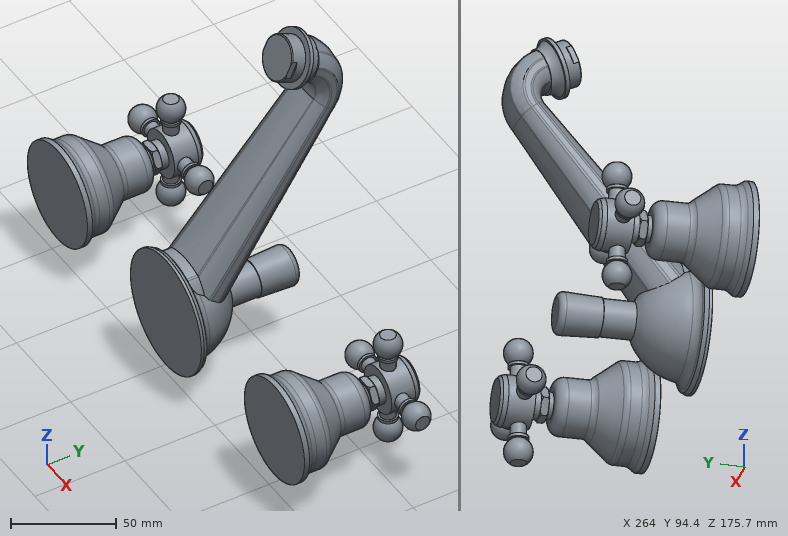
import cadquery as cq
import math


handle_spacing = 100.0
handle_flange_radius = 27.7
handle_rim_thickness = 3.0
handle_rim_slope = (26.1, 5.3)
rim_blend_middle = (25.4, 6.9)
bell_radius = 25.0
bell_base = 8.5
bell_top = 14.0
bell_shoulder_middle = (24.8, 15.5)
cone_start = (23.8, 17.2)
cone_end = (15.8, 27.5)
sleeve_blend_middle = (14.5, 29.0)
sleeve_radius = 14.3
sleeve_base = 30.6
sleeve_top = 47.3
sleeve_rounding = 5.5

collar_radius = 6.5
nut_base = 49.6
nut_top = 53.5
nut_corner_radius = 8.7
nut_chamfer = 0.8
stem_radius = 7.5

hub_radius = 12.7
hub_base = 57.5
hub_shoulder = 70.8
hub_top = 74.5
hub_bevel = 1.3
hub_edge_bevel = 0.8

arm_count = 4
arm_height = 63.0
arm_radius = 4.0
arm_length = 32.0
arm_ring_radius = 5.0
arm_ring_start = 18.2
arm_ring_end = 19.8
arm_neck_radius = 4.0
ball_radius = 7.0
ball_flat_radius = 4.0

spout_flange_radius = 32.7
spout_rim_thickness = 1.5
spout_rim_bevel_top = (31.7, 3.7)
flare_start = (30.0, 4.2)
flare_middle = (28.0, 5.8)
dome_foot_radius = 27.0
dome_foot = 8.2
dome_middle = (22.7, 19.0)
post_radius = 9.2
post_start = 31.5
knob_radius = 10.5
knob_start = 47.5
knob_start_radius = 9.8
knob_end = 69.2
knob_rounding = 3.2

arm_angle = 52.4
bar_length = 114.5
bar_root_half_width = 20.0
bar_root_depth = 27.0
bend_half_width = 13.7
bend_depth = 15.5
bend_start_y = 82.5
bend_start_z = 102.0
bend_radius = 15.8
bend_angle = 103.2
bend_end_half_width = 12.1
bend_end_depth = 20.0
face_share = 0.62
side_share = 0.22
face_crown_share = 0.06
bevel_crown_share = 0.06
rounding_share = 0.2

foot_top = 10.5
foot_bottom = 2.6

throat_radius = 11.4
throat_middle = (12.1, 3.5)
throat_end_radius = 14.0
nozzle_ring_radius = 15.0
nozzle_ring_start = 5.8
nozzle_ring_end = 8.0
nozzle_radius = 11.5
nozzle_end = 16.0
nozzle_bevel = 0.5
nozzle_flat_length = 3.2
nozzle_flat_width = 9.0


def turning_plane(origin, axis):
    """Plane through origin whose local Y runs along the turning axis."""
    axis = cq.Vector(*axis)
    radial = cq.Vector(0, 0, 1) if abs(axis.x) > 0.5 else cq.Vector(1, 0, 0)
    return cq.Plane(origin=origin, xDir=radial, normal=radial.cross(axis))


def turn(outline):
    """Close a half outline and spin it about the local Y axis."""
    return outline.close().revolve(360, (0, 0), (0, 1))


def handle_cover():
    return turn(
        cq.Workplane("XY")
        .lineTo(handle_flange_radius, 0)
        .lineTo(handle_flange_radius, handle_rim_thickness)
        .lineTo(*handle_rim_slope)
        .threePointArc(rim_blend_middle, (bell_radius, bell_base))
        .lineTo(bell_radius, bell_top)
        .threePointArc(bell_shoulder_middle, cone_start)
        .lineTo(*cone_end)
        .threePointArc(sleeve_blend_middle, (sleeve_radius, sleeve_base))
        .lineTo(sleeve_radius, sleeve_top - sleeve_rounding)
        .radiusArc((sleeve_radius - sleeve_rounding, sleeve_top), -sleeve_rounding)
        .lineTo(0, sleeve_top)
    )


def handle_stem():
    """Collar, hub and the stem between them, without the nut."""
    return turn(
        cq.Workplane("XY")
        .moveTo(0, sleeve_top)
        .lineTo(collar_radius, sleeve_top)
        .lineTo(collar_radius, nut_base)
        .lineTo(stem_radius, nut_base)
        .lineTo(stem_radius, hub_base)
        .lineTo(hub_radius, hub_base)
        .lineTo(hub_radius, hub_shoulder)
        .lineTo(hub_radius - hub_edge_bevel, hub_top - hub_bevel)
        .lineTo(hub_radius - hub_edge_bevel - hub_bevel, hub_top)
        .lineTo(0, hub_top)
    )


def handle_nut():
    thickness = nut_top - nut_base
    base = cq.Plane(origin=(0, nut_base, 0), xDir=(1, 0, 0), normal=(0, 1, 0))
    hexagon = cq.Workplane(base).polygon(6, 2 * nut_corner_radius).extrude(thickness)
    rounding = cq.Workplane(base).circle(nut_corner_radius).extrude(thickness).edges().chamfer(nut_chamfer)
    return hexagon.intersect(rounding)


def handle_arm():
    """One arm of the cross, along +X, ending in a ball with a flat tip."""
    ball_center = arm_length - math.sqrt(ball_radius**2 - ball_flat_radius**2)
    ball_root = ball_center - math.sqrt(ball_radius**2 - arm_neck_radius**2)
    return turn(
        cq.Workplane(turning_plane((0, arm_height, 0), (1, 0, 0)))
        .lineTo(arm_radius, 0)
        .lineTo(arm_radius, arm_ring_start)
        .lineTo(arm_ring_radius, arm_ring_start)
        .lineTo(arm_ring_radius, arm_ring_end)
        .lineTo(arm_neck_radius, arm_ring_end)
        .lineTo(arm_neck_radius, ball_root)
        .threePointArc((ball_radius, ball_center), (ball_flat_radius, arm_length))
        .lineTo(0, arm_length)
    )


def make_handle(x):
    handle = handle_cover().union(handle_stem()).union(handle_nut())
    for i in range(arm_count):
        handle = handle.union(handle_arm().rotate((0, 0, 0), (0, 1, 0), i * 360 / arm_count))
    return handle.translate((x, 0, 0))


def spout_base():
    return turn(
        cq.Workplane("XY")
        .lineTo(spout_flange_radius, 0)
        .lineTo(spout_flange_radius, spout_rim_thickness)
        .lineTo(*spout_rim_bevel_top)
        .lineTo(*flare_start)
        .threePointArc(flare_middle, (dome_foot_radius, dome_foot))
        .threePointArc(dome_middle, (post_radius, post_start))
        .lineTo(post_radius, knob_start)
        .lineTo(knob_start_radius, knob_start)
        .lineTo(knob_radius, knob_end - knob_rounding)
        .radiusArc((knob_radius - knob_rounding, knob_end), -knob_rounding)
        .lineTo(0, knob_end)
    )


def direction(angle):
    """Unit vector in the YZ plane, angle from +Y toward +Z."""
    return cq.Vector(0, math.cos(math.radians(angle)), math.sin(math.radians(angle)))


def bulge(outline, end, height):
    """Continue an outline with an arc that rises outward by the given height."""
    return outline.sagittaArc(end, -height)


def section(center, angle, half_width, depth):
    """Rounded eight-sided wire square to the given direction."""
    face = face_share * half_width
    side = side_share * depth / 2
    face_crown = face_crown_share * depth
    edge = depth / 2 - face_crown
    bevel_crown = bevel_crown_share * half_width
    plane = cq.Plane(origin=center.toTuple(), xDir=(1, 0, 0), normal=direction(angle).toTuple())
    outline = cq.Workplane(plane).moveTo(half_width, -side).lineTo(half_width, side)
    outline = bulge(outline, (face, edge), bevel_crown)
    outline = bulge(outline, (-face, edge), face_crown)
    outline = bulge(outline, (-half_width, side), bevel_crown)
    outline = outline.lineTo(-half_width, -side)
    outline = bulge(outline, (-face, -edge), bevel_crown)
    outline = bulge(outline, (face, -edge), face_crown)
    wire = bulge(outline, (half_width, -side), bevel_crown).wire().val()
    return wire.fillet2D(rounding_share * half_width, wire.Vertices())


bend_start = cq.Vector(0, bend_start_y, bend_start_z)
bend_center = bend_start + direction(arm_angle + 90) * bend_radius
bend_end = bend_center + direction(arm_angle + bend_angle - 90) * bend_radius
nozzle_angle = arm_angle + bend_angle


def spout_bar():
    """Tapered bar whose root turns straight down to the wall flange."""
    root = bend_start - direction(arm_angle) * bar_length
    taper = cq.Workplane(cq.Solid.makeLoft([
        section(root, arm_angle, bar_root_half_width, bar_root_depth),
        section(bend_start, arm_angle, bend_half_width, bend_depth),
    ], True))
    below_foot = cq.Workplane("XY").box(
        bar_length, foot_top, bar_length, centered=(True, False, True)
    )
    bar = taper.cut(below_foot)
    foot = cq.Solid.extrudeLinear(bar.faces("<Y").val(), cq.Vector(0, foot_bottom - foot_top, 0))
    return bar.union(cq.Workplane(foot))


def spout_bend():
    bend_middle = bend_center + direction(arm_angle + bend_angle / 2 - 90) * bend_radius
    path = cq.Wire.assembleEdges([cq.Edge.makeThreePointArc(bend_start, bend_middle, bend_end)])
    return cq.Workplane(cq.Solid.sweep_multi([
        section(bend_start, arm_angle, bend_half_width, bend_depth),
        section(bend_end, nozzle_angle, bend_end_half_width, bend_end_depth),
    ], path))


def spout_nozzle():
    axis = direction(nozzle_angle)
    nozzle = turn(
        cq.Workplane(turning_plane(bend_end.toTuple(), axis.toTuple()))
        .lineTo(throat_radius, 0)
        .threePointArc(throat_middle, (throat_end_radius, nozzle_ring_start))
        .lineTo(nozzle_ring_radius, nozzle_ring_start)
        .lineTo(nozzle_ring_radius, nozzle_ring_end)
        .lineTo(nozzle_radius, nozzle_ring_end)
        .lineTo(nozzle_radius, nozzle_end - nozzle_bevel)
        .lineTo(nozzle_radius - nozzle_bevel, nozzle_end)
        .lineTo(0, nozzle_end)
    )
    flat_offset = math.sqrt(nozzle_radius**2 - (nozzle_flat_width / 2)**2)
    mouth = cq.Plane(origin=(bend_end + axis * nozzle_end).toTuple(), xDir=(1, 0, 0), normal=axis.toTuple())
    for side in (-1, 1):
        cutter = (
            cq.Workplane(mouth)
            .center(side * (flat_offset + nozzle_radius / 2), 0)
            .rect(nozzle_radius, nozzle_flat_width)
            .extrude(-nozzle_flat_length)
        )
        nozzle = nozzle.cut(cutter)
    return nozzle


def make_spout():
    return spout_base().union(spout_bar()).union(spout_bend()).union(spout_nozzle())


handles = [make_handle(side * handle_spacing) for side in (-1, 1)]
spout = make_spout()

result = cq.Compound.makeCompound([spout.val(), *[handle.val() for handle in handles]])